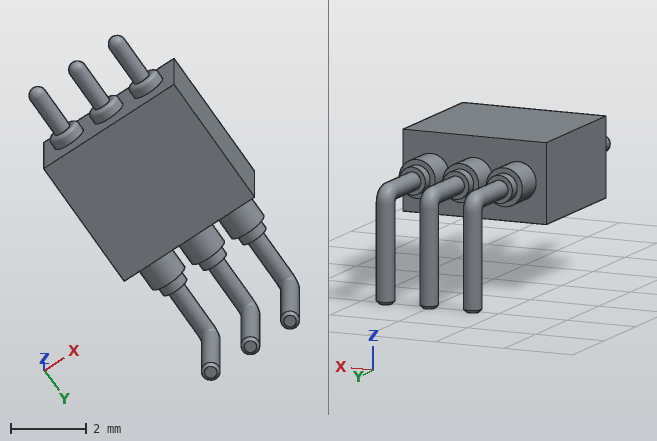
import cadquery as cq

HOUSING_WIDTH = 4.19
HOUSING_DEPTH = 3.81
HOUSING_HEIGHT = 2.22

PIN_COUNT = 3
PIN_PITCH = 1.27

BARREL_DIAMETER = 0.91
BARREL_PROJECTION = 0.31
BARREL_FILLET = 0.1
PLUNGER_DIAMETER = 0.48
PLUNGER_PROJECTION = 1.4

SHOULDER_DIAMETER = 1.055
SHOULDER_LENGTH = 0.88
COLLAR_DIAMETER = 0.76
COLLAR_LENGTH = 0.31
TAIL_DIAMETER = 0.5
TAIL_REACH = 1.94
TAIL_INNER_BEND_RADIUS = 0.01
TAIL_DROP = 1.89
TAIL_CHAMFER = 0.09

PIN_POSITIONS = [(i - (PIN_COUNT - 1) / 2) * PIN_PITCH for i in range(PIN_COUNT)]
BARREL_FRONT_Y = -BARREL_PROJECTION
COLLAR_START_Y = HOUSING_DEPTH + SHOULDER_LENGTH
TAIL_START_Y = COLLAR_START_Y + COLLAR_LENGTH
TAIL_RADIUS = TAIL_DIAMETER / 2
LEG_Y = TAIL_START_Y + TAIL_REACH - TAIL_RADIUS
LEG_TIP_Z = -HOUSING_HEIGHT / 2 - TAIL_DROP
BEND_RADIUS = TAIL_RADIUS + TAIL_INNER_BEND_RADIUS
BEND_Y = LEG_Y - BEND_RADIUS
BEND_Z = -BEND_RADIUS


def rod_along_y(diameter, start_y, length):
    """Cylinder on the pin axis, running toward +Y from start_y."""
    plane = cq.Plane(origin=(0, start_y, 0), xDir=(1, 0, 0), normal=(0, 1, 0))
    return cq.Workplane(plane).circle(diameter / 2).extrude(length)


def make_housing():
    """Block with one through bore per pin."""
    housing = cq.Workplane("XY").box(HOUSING_WIDTH, HOUSING_DEPTH, HOUSING_HEIGHT)
    housing = housing.translate((0, HOUSING_DEPTH / 2, 0))
    for x in PIN_POSITIONS:
        bore = rod_along_y(BARREL_DIAMETER, 0, HOUSING_DEPTH)
        housing = housing.cut(bore.translate((x, 0, 0)))
    return housing


def make_plunger():
    """Contact rod with a hemispherical front tip."""
    radius = PLUNGER_DIAMETER / 2
    tip_y = BARREL_FRONT_Y - PLUNGER_PROJECTION
    profile = (
        cq.Workplane("XY")
        .moveTo(0, tip_y)
        .radiusArc((radius, tip_y + radius), -radius)
        .lineTo(radius, BARREL_FRONT_Y)
        .lineTo(0, BARREL_FRONT_Y)
        .close()
    )
    return profile.revolve(360, (0, 0, 0), (0, 1, 0))


def make_barrel():
    """Barrel through the housing with a rounded front edge, and the stepped rear collars."""
    barrel = rod_along_y(BARREL_DIAMETER, BARREL_FRONT_Y, BARREL_PROJECTION + HOUSING_DEPTH)
    barrel = barrel.faces("<Y").edges().fillet(BARREL_FILLET)
    shoulder = rod_along_y(SHOULDER_DIAMETER, HOUSING_DEPTH, SHOULDER_LENGTH)
    collar = rod_along_y(COLLAR_DIAMETER, COLLAR_START_Y, COLLAR_LENGTH)
    return barrel.union(shoulder).union(collar)


def make_tail():
    """Round tail bent down at a right angle, with a chamfered tip."""
    straight = rod_along_y(TAIL_DIAMETER, TAIL_START_Y, BEND_Y - TAIL_START_Y)
    bend_plane = cq.Plane(origin=(0, BEND_Y, 0), xDir=(1, 0, 0), normal=(0, -1, 0))
    bend = (
        cq.Workplane(bend_plane)
        .circle(TAIL_RADIUS)
        .revolve(90, (0.09, BEND_Z, 0), (0, BEND_Z, 0))
    )
    leg = (
        cq.Workplane("XY", origin=(0, LEG_Y, LEG_TIP_Z))
        .circle(TAIL_RADIUS)
        .extrude(BEND_Z - LEG_TIP_Z)
        .faces("<Z")
        .chamfer(TAIL_CHAMFER)
    )
    return straight.union(bend).union(leg)


def make_pin(x):
    """One complete pin with its axis at the given X."""
    pin = make_barrel().union(make_plunger()).union(make_tail())
    return pin.translate((x, 0, 0))


housing = make_housing()
pins = [make_pin(x) for x in PIN_POSITIONS]

result = cq.Compound.makeCompound([housing.solids().val(), *[pin.solids().val() for pin in pins]])